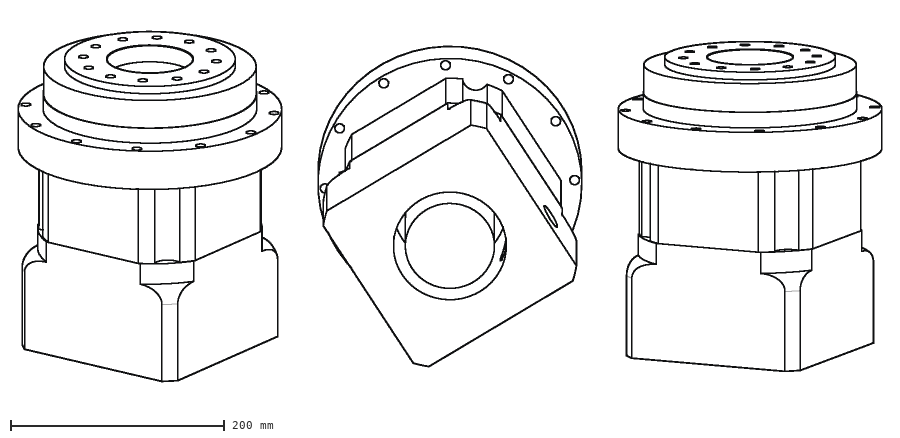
import cadquery as cq
import math

total_height = 278.0
adapter_height = 111.2
flange_bottom = 191.0
flange_top = 228.8
pilot_relief_z = 243.5
pilot_top = 270.8

square_width = 180.1

adapter_corner_radius = 120.0
adapter_neck_radius = 105.0
corner_rounding_top = 91.2
corner_rounding_radius = adapter_corner_radius - adapter_neck_radius
adapter_bore_radius = 52.8
access_hole_diameter = 23.0
access_hole_y = -34.0
access_hole_z = 31.0

hub_radius = 41.7

gearbox_corner_radius = 104.0
groove_radius = 12.5
groove_circle_radius = 107.5
corner_count = 4
flange_diameter = 247.0
pilot_diameter = 200.2
pilot_relief_diameter = 199.0
flange_hole_circle = 233.5
flange_hole_diameter = 9.0

output_diameter = 159.8
recess_diameter = 80.0
recess_depth = 16.5
recess_chamfer = 0.5
output_hole_circle = 125.0
output_hole_diameter = 8.5
output_hole_depth = 22.2
drill_point_angle = 118.0

hole_count = 12


def cylinder(diameter, bottom, top):
    """Upright cylinder on the Z axis between two heights."""
    return cq.Workplane("XY").workplane(offset=bottom).circle(diameter / 2).extrude(top - bottom)


def square_block(bottom, top):
    """Upright block with the shared square outline."""
    return (
        cq.Workplane("XY")
        .workplane(offset=bottom)
        .rect(square_width, square_width)
        .extrude(top - bottom)
    )


def bolt_circle(diameter, height):
    """Workplane with one point per hole on a bolt circle."""
    return cq.Workplane("XY").workplane(offset=height).polarArray(diameter / 2, 0, 360, hole_count)


def make_adapter():
    """Square block with turned corners, a through bore and a side access hole."""
    rounding_bottom = corner_rounding_top - corner_rounding_radius
    diagonal = corner_rounding_radius * math.sqrt(0.5)
    turned_envelope = (
        cq.Workplane("XZ")
        .moveTo(0, 0)
        .lineTo(adapter_corner_radius, 0)
        .lineTo(adapter_corner_radius, rounding_bottom)
        .threePointArc(
            (adapter_neck_radius + diagonal, rounding_bottom + diagonal),
            (adapter_neck_radius, corner_rounding_top),
        )
        .lineTo(adapter_neck_radius, adapter_height)
        .lineTo(0, adapter_height)
        .close()
        .revolve(360, (0, 0, 0), (0, 1, 0))
    )
    bore = cylinder(2 * adapter_bore_radius, 0, adapter_height)
    access_hole = (
        cq.Workplane("YZ")
        .center(access_hole_y, access_hole_z)
        .circle(access_hole_diameter / 2)
        .extrude(-square_width)
    )
    return square_block(0, adapter_height).intersect(turned_envelope).cut(bore).cut(access_hole)


def make_hub():
    """Plain round hub standing in the adapter bore."""
    return cylinder(2 * hub_radius, 0, adapter_height)


def cut_corner_grooves(body):
    """Vertical round grooves down the four corners of the gearbox."""
    grooves = (
        cq.Workplane("XY")
        .workplane(offset=adapter_height)
        .polarArray(groove_circle_radius, 45, 360, corner_count)
        .circle(groove_radius)
        .extrude(flange_bottom - adapter_height)
    )
    return body.cut(grooves)


def cut_output_holes(body):
    """Blind drilled holes with conical ends around the recess."""
    radius = output_hole_diameter / 2
    cone_height = radius / math.tan(math.radians(drill_point_angle / 2))
    drill = (
        cq.Workplane("XZ")
        .moveTo(0, 0)
        .lineTo(radius, 0)
        .lineTo(radius, -output_hole_depth)
        .lineTo(0, -output_hole_depth - cone_height)
        .close()
        .revolve(360, (0, 0, 0), (0, 1, 0))
        .val()
    )
    drills = bolt_circle(output_hole_circle, total_height).eachpoint(lambda place: drill.moved(place))
    return body.cut(drills)


def cut_recess(body):
    """Round recess with a small lead-in chamfer."""
    recess = cylinder(recess_diameter, total_height - recess_depth, total_height)
    lead_in = (
        cq.Workplane("XY")
        .workplane(offset=total_height)
        .circle(recess_diameter / 2 + recess_chamfer)
        .workplane(offset=-recess_chamfer)
        .circle(recess_diameter / 2)
        .loft()
    )
    return body.cut(recess).cut(lead_in)


def make_housing():
    """Gearbox, mounting flange, pilot and output face."""
    gearbox = square_block(adapter_height, flange_bottom).intersect(
        cylinder(2 * gearbox_corner_radius, adapter_height, flange_bottom)
    )
    gearbox = cut_corner_grooves(gearbox)
    flange = cylinder(flange_diameter, flange_bottom, flange_top)
    flange_holes = (
        bolt_circle(flange_hole_circle, flange_bottom)
        .circle(flange_hole_diameter / 2)
        .extrude(flange_top - flange_bottom)
    )
    body = (
        gearbox.union(flange.cut(flange_holes))
        .union(cylinder(pilot_diameter, flange_top, pilot_relief_z))
        .union(cylinder(pilot_relief_diameter, pilot_relief_z, pilot_top))
        .union(cylinder(output_diameter, pilot_top, total_height))
    )
    return cut_output_holes(cut_recess(body))


adapter = make_adapter()
hub = make_hub()
housing = make_housing()
result = cq.Compound.makeCompound([adapter.val(), hub.val(), housing.val()])